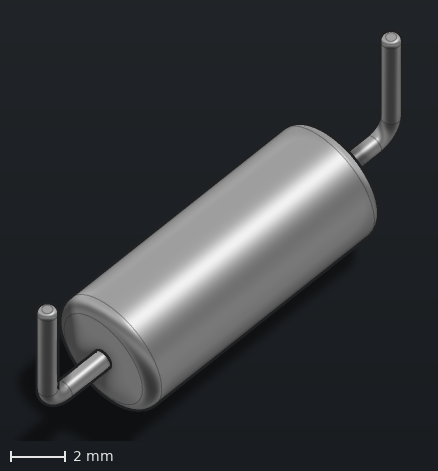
import cadquery as cq

body_diameter = 5.0
body_length = 12.0
body_edge_radius = 0.5

lead_diameter = 0.8
lead_pitch = 17.78
lead_top = 5.5
lead_straight_end = 8.0
lead_tip_radius = 0.2

lead_offset = lead_pitch / 2
bend_radius = lead_offset - lead_straight_end


def make_body():
    """Cylinder along Y with rounded rims."""
    end_plane = cq.Workplane("XZ", origin=(0, body_length / 2, 0))
    cylinder = end_plane.circle(body_diameter / 2).extrude(body_length)
    return cylinder.faces("<Y or >Y").edges().fillet(body_edge_radius)


def make_lead():
    """Wire on the +Y side: out of the body centre, a quarter bend, then up to a rounded tip."""
    path = (
        cq.Workplane("YZ")
        .lineTo(lead_straight_end, 0)
        .radiusArc((lead_offset, bend_radius), -bend_radius)
        .lineTo(lead_offset, lead_top)
    )
    wire = cq.Workplane("XZ").circle(lead_diameter / 2).sweep(path)
    return wire.faces(">Z").edges().fillet(lead_tip_radius)


lead = make_lead()
result = make_body().union(lead).union(lead.mirror("XZ"))